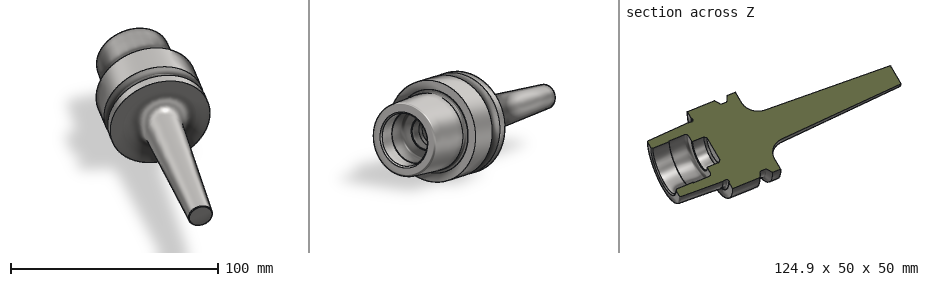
import cadquery as cq
import math

total_length = 124.9

shank_length = 25.0
mouth_radius = 18.1
taper_end_radius = 19.1
taper_length = 22.7
mouth_rounding = 1.0

relief_cone_length = 0.6
relief_angle = 15.0
relief_blend_radius = 1.5

recess_radius = 20.5
recess_depth = 0.4
recess_fillet = 0.7

collar_radius = 25.0
collar_length = 26.0
groove_start = 39.7
groove_width = 6.7
groove_floor_radius = 21.7
groove_flank_angle = 60.0
groove_floor_fillet = 0.5

tip_radius = 6.0
tip_chamfer = 0.4
nose_half_angle = 3.0
nose_fillet = 8.7

bore_radius = 13.0
bore_chamfer = 0.7
bore_length = 9.5
undercut_radius = 13.4
undercut_flank_angle = 60.0
undercut_floor = 19.4
undercut_fillet = 1.5
pocket_radius = 8.1
pocket_chamfer = 0.4
pocket_depth = 7.5
pocket_floor_radius = 7.0

collar_end = shank_length + collar_length
relief_slope = math.radians(relief_angle)
relief_cone_end_radius = taper_end_radius - relief_cone_length * math.tan(relief_slope)
neck_radius = relief_cone_end_radius - relief_blend_radius * (1 - math.cos(relief_slope))


def revolve_about_x(profile):
    """Turn a closed profile drawn as (X, radius) about the X axis."""
    return profile.close().revolve(360, (0, 0, 0), (1, 0, 0))


def fillet_inset(radius):
    """Distance from a square corner's faces to the middle of its fillet."""
    return radius * (1 - math.sqrt(0.5))


def make_shank():
    """Solid taper shank with a rounded front edge and a relieved neck."""
    recess_floor = shank_length + recess_depth
    cone_end = taper_length + relief_cone_length
    blend_end = cone_end + relief_blend_radius * math.sin(relief_slope)
    blend_middle = (
        blend_end - relief_blend_radius * math.sin(relief_slope / 2),
        neck_radius + relief_blend_radius * (1 - math.cos(relief_slope / 2)),
    )
    profile = (
        cq.Workplane("XY")
        .lineTo(0, mouth_radius)
        .lineTo(taper_length, taper_end_radius)
        .lineTo(cone_end, relief_cone_end_radius)
        .threePointArc(blend_middle, (blend_end, neck_radius))
        .lineTo(recess_floor - recess_fillet, neck_radius)
        .threePointArc(
            (recess_floor - fillet_inset(recess_fillet), neck_radius + fillet_inset(recess_fillet)),
            (recess_floor, neck_radius + recess_fillet),
        )
        .lineTo(recess_floor, 0)
    )
    return revolve_about_x(profile).faces("<X").edges().fillet(mouth_rounding)


def make_gripper_groove():
    """Ring removed from the collar: sloped flanks and a floor with filleted corners."""
    groove_depth = collar_radius - groove_floor_radius
    flank_length = groove_depth / math.tan(math.radians(groove_flank_angle))
    groove_end = groove_start + groove_width
    profile = (
        cq.Workplane("XY")
        .moveTo(groove_start, collar_radius)
        .lineTo(groove_start + flank_length, groove_floor_radius)
        .lineTo(groove_end - flank_length, groove_floor_radius)
        .lineTo(groove_end, collar_radius)
    )
    floor_corners = cq.selectors.RadiusNthSelector(0)
    return revolve_about_x(profile).edges("%CIRCLE").edges(floor_corners).fillet(groove_floor_fillet)


def make_collar():
    """Collar with a gripper groove and a shallow recess in its front face."""
    profile = (
        cq.Workplane("XY")
        .moveTo(shank_length + recess_depth, 0)
        .lineTo(shank_length + recess_depth, recess_radius)
        .lineTo(shank_length, recess_radius)
        .lineTo(shank_length, collar_radius)
        .lineTo(collar_end, collar_radius)
        .lineTo(collar_end, 0)
    )
    return revolve_about_x(profile).cut(make_gripper_groove())


def make_nose():
    """Conical nose blending into the collar with a tangent fillet."""
    slope = math.radians(nose_half_angle)
    fillet_center_x = collar_end + nose_fillet
    fillet_center_radius = (
        tip_radius
        + (total_length - fillet_center_x) * math.tan(slope)
        + nose_fillet / math.cos(slope)
    )

    def fillet_point(angle):
        """Fillet point at an angle measured from the -X direction towards the axis."""
        return (
            fillet_center_x - nose_fillet * math.cos(angle),
            fillet_center_radius - nose_fillet * math.sin(angle),
        )

    sweep = math.pi / 2 - slope
    profile = (
        cq.Workplane("XY")
        .moveTo(collar_end, 0)
        .lineTo(*fillet_point(0))
        .threePointArc(fillet_point(sweep / 2), fillet_point(sweep))
        .lineTo(total_length, tip_radius)
        .lineTo(total_length, 0)
    )
    return revolve_about_x(profile).faces(">X").edges().chamfer(tip_chamfer)


def make_bore():
    """Space inside the shank: mouth chamfer, bore, shallow undercut and end pocket."""
    pocket_floor = undercut_floor + pocket_depth
    pocket_floor_chamfer = pocket_radius - pocket_floor_radius
    flank_length = (undercut_radius - bore_radius) / math.tan(math.radians(undercut_flank_angle))
    profile = (
        cq.Workplane("XY")
        .lineTo(0, bore_radius + bore_chamfer)
        .lineTo(bore_chamfer, bore_radius)
        .lineTo(bore_length, bore_radius)
        .lineTo(bore_length + flank_length, undercut_radius)
        .lineTo(undercut_floor - undercut_fillet, undercut_radius)
        .threePointArc(
            (
                undercut_floor - fillet_inset(undercut_fillet),
                undercut_radius - fillet_inset(undercut_fillet),
            ),
            (undercut_floor, undercut_radius - undercut_fillet),
        )
        .lineTo(undercut_floor, pocket_radius + pocket_chamfer)
        .lineTo(undercut_floor + pocket_chamfer, pocket_radius)
        .lineTo(pocket_floor - pocket_floor_chamfer, pocket_radius)
        .lineTo(pocket_floor, pocket_floor_radius)
        .lineTo(pocket_floor, 0)
    )
    return revolve_about_x(profile)


result = make_shank().union(make_collar()).union(make_nose()).cut(make_bore())